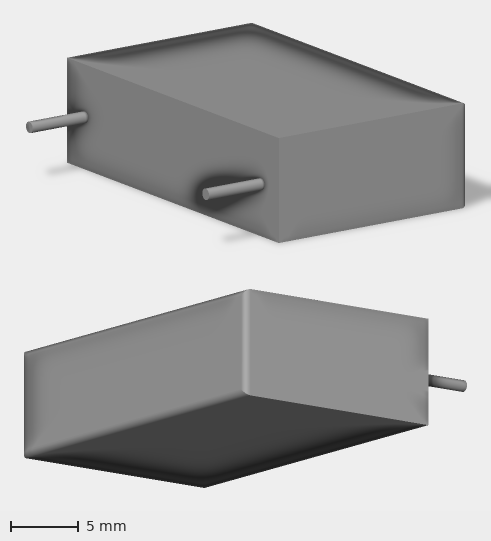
import cadquery as cq

case_length = 27.0
case_depth = 17.0
case_height = 8.02
rim_radius = 0.49

lead_length = 5.0
lead_diameter = 0.86
lead_pitch = 22.5


def make_case():
    """Block centred on X and Z, running from the lead face at Y = 0 toward +Y."""
    block = cq.Workplane("XY").box(case_length, case_depth, case_height, centered=(True, False, True))
    return block.faces(">Y").edges().fillet(rim_radius)


def make_lead(x):
    """Round wire that starts on the lead face at the given X and runs toward -Y."""
    return cq.Workplane("XZ").center(x, 0).circle(lead_diameter / 2).extrude(lead_length)


case = make_case()
leads = [make_lead(side * lead_pitch / 2) for side in (-1, 1)]

result = cq.Compound.makeCompound([case.val(), *[lead.val() for lead in leads]])